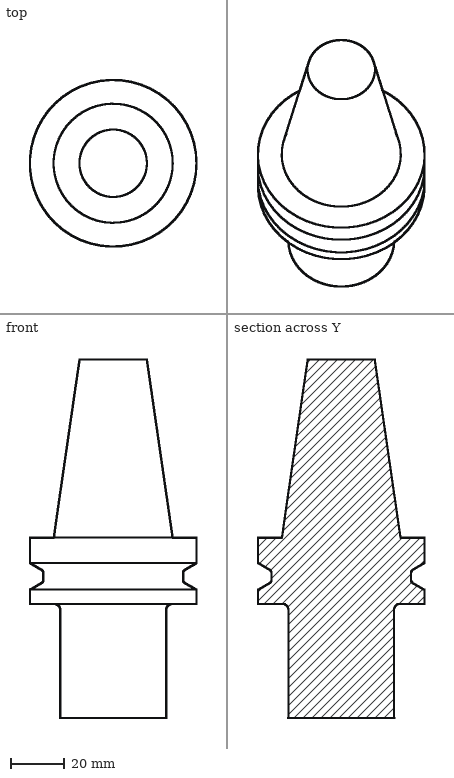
import cadquery as cq
import math


nose_diameter = 40.1
flange_diameter = 63.0
groove_diameter = 53.0
taper_large_diameter = 45.0
taper_small_diameter = 25.5

total_height = 135.4
flange_bottom = 43.0
groove_mouth_bottom = 48.5
groove_mouth_top = 58.5
flange_top = 68.1

flank_angle = 30.0
groove_fillet = 0.8
nose_fillet = 2.2

groove_depth = (flange_diameter - groove_diameter) / 2
flank_height = groove_depth * math.tan(math.radians(flank_angle))
groove_floor_bottom = groove_mouth_bottom + flank_height
groove_floor_top = groove_mouth_top - flank_height

profile = [
    (0, 0),
    (nose_diameter / 2, 0),
    (nose_diameter / 2, flange_bottom),
    (flange_diameter / 2, flange_bottom),
    (flange_diameter / 2, groove_mouth_bottom),
    (groove_diameter / 2, groove_floor_bottom),
    (groove_diameter / 2, groove_floor_top),
    (flange_diameter / 2, groove_mouth_top),
    (flange_diameter / 2, flange_top),
    (taper_large_diameter / 2, flange_top),
    (taper_small_diameter / 2, total_height),
    (0, total_height),
]


def circle_at(diameter, height):
    """Select the circular edge of this diameter at this height."""
    margin = 0.1
    reach = diameter / 2 + margin
    return cq.selectors.BoxSelector(
        (-reach, -reach, height - margin), (reach, reach, height + margin), boundingbox=True
    )


body = cq.Workplane("XZ").polyline(profile).close().revolve(360, (0, 0, 0), (0, 1, 0))

body = body.edges(circle_at(nose_diameter, flange_bottom)).fillet(nose_fillet)
for floor_edge in (groove_floor_bottom, groove_floor_top):
    body = body.edges(circle_at(groove_diameter, floor_edge)).fillet(groove_fillet)

result = body